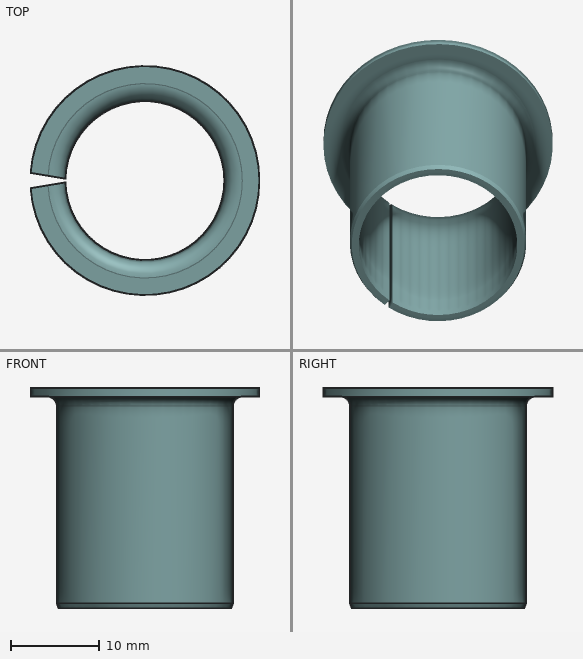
import cadquery as cq
import math

flange_radius = 13.0
height = 25.0
wall = 1.01
sleeve_radius = 10.0

bend_outer_radius = 1.01
bend_inner_radius = bend_outer_radius + wall

chamfer_height = 0.6
chamfer_angle = 20.0

split_half_width_bore = 0.195
split_half_width_rim = 0.85

bore_radius = sleeve_radius - wall
flange_bottom = height - wall
chamfer_width = chamfer_height * math.tan(math.radians(chamfer_angle))


def bushing_body():
    """Revolve the flanged wall section about Z."""
    bend_radius_from_axis = sleeve_radius + bend_outer_radius
    bend_z = flange_bottom - bend_outer_radius
    diagonal = math.sqrt(0.5)

    def bend_middle(radius):
        return (bend_radius_from_axis - radius * diagonal, bend_z + radius * diagonal)

    section = (
        cq.Workplane("XZ")
        .moveTo(bore_radius, 0)
        .lineTo(sleeve_radius - chamfer_width, 0)
        .lineTo(sleeve_radius, chamfer_height)
        .lineTo(sleeve_radius, bend_z)
        .threePointArc(bend_middle(bend_outer_radius), (bend_radius_from_axis, flange_bottom))
        .lineTo(flange_radius, flange_bottom)
        .lineTo(flange_radius, height)
        .lineTo(bend_radius_from_axis, height)
        .threePointArc(bend_middle(bend_inner_radius), (bore_radius, bend_z))
        .close()
    )
    body = section.revolve(360, (0, 0, 0), (0, 1, 0))
    return body.rotate((0, 0, 0), (0, 0, 1), 180)


def split_wedge():
    """Full-height wedge whose flat sides widen from the bore to beyond the rim."""
    slope = (split_half_width_rim - split_half_width_bore) / (flange_radius - bore_radius)
    tip_radius = bore_radius - split_half_width_bore / slope
    end_radius = flange_radius + wall
    end_half_width = (end_radius - tip_radius) * slope
    corners = [(-tip_radius, 0), (-end_radius, end_half_width), (-end_radius, -end_half_width)]
    return cq.Workplane("XY").polyline(corners).close().extrude(height)


result = bushing_body().cut(split_wedge())